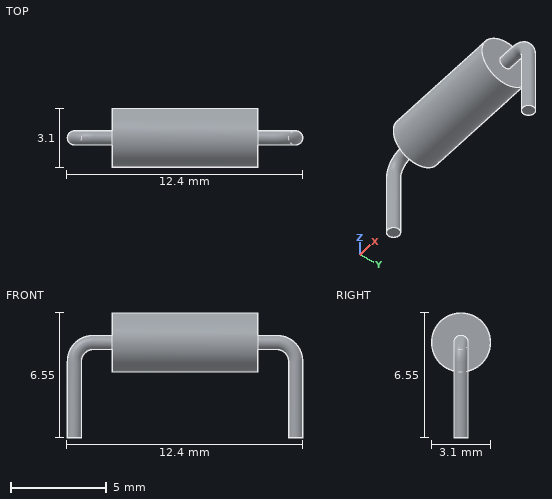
import cadquery as cq

overall_length = 12.35
overall_height = 6.55
body_diameter = 3.1
body_length = 7.63
wire_diameter = 0.75
bend_radius = 0.99

body_radius = body_diameter / 2
wire_radius = wire_diameter / 2
leg_x = overall_length / 2 - wire_radius
leg_bottom_z = body_radius - overall_height


def make_body():
    """Plain cylinder lying along X, with its axis at Z = 0."""
    return cq.Workplane("YZ", origin=(-body_length / 2, 0, 0)).circle(body_radius).extrude(body_length)


def make_lead(side):
    """Round wire from the body centre out to one end (side = -1 or +1), bent down to the leg tip."""
    path = (
        cq.Workplane("XZ")
        .moveTo(0, 0)
        .lineTo(side * (leg_x - bend_radius), 0)
        .tangentArcPoint((side * leg_x, -bend_radius), relative=False)
        .lineTo(side * leg_x, leg_bottom_z)
    )
    return cq.Workplane("YZ").circle(wire_radius).sweep(path)


result = make_body()
for side in (-1, 1):
    result = result.union(make_lead(side))